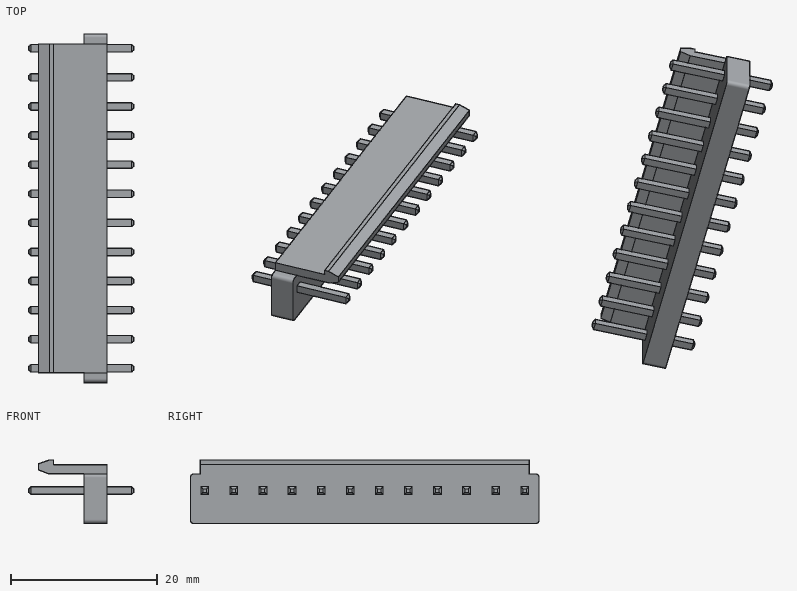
import cadquery as cq

base_length = 47.5
base_depth = 3.2
base_height = 6.8
base_end_radius = 0.5

arm_length = 44.8
arm_thickness = 1.25
arm_reach = 6.2
arm_top = base_height + arm_thickness

overall_height = 8.7
hook_depth = 2.05
hook_crest_width = 0.55
hook_tip_bottom = 7.3
hook_tip_top = 8.15
hook_underside_run = 1.35

pin_count = 12
pin_row_span = 43.58
pin_pitch = pin_row_span / (pin_count - 1)
pin_width = 1.05
pin_length = 14.3
pin_front_reach = 7.5
pin_axis_height = 4.5
pin_tip_chamfer = 0.3


def make_base():
    """Bar with its four corners rounded at the two ends."""
    bar = cq.Workplane("XY").box(
        base_depth, base_length, base_height, centered=(False, True, False)
    )
    return bar.edges("|X").fillet(base_end_radius)


def make_arm():
    """Plate and hook as one profile drawn in XZ and extruded along Y."""
    tip_x = -arm_reach
    catch_x = tip_x + hook_depth
    profile = [
        (base_depth, base_height),
        (base_depth, arm_top),
        (catch_x, arm_top),
        (catch_x, overall_height),
        (catch_x - hook_crest_width, overall_height),
        (tip_x, hook_tip_top),
        (tip_x, hook_tip_bottom),
        (tip_x + hook_underside_run, base_height),
    ]
    return cq.Workplane("XZ").polyline(profile).close().extrude(arm_length / 2, both=True)


def make_pin(axis_y):
    """Square pin with all edges of both end faces chamfered."""
    pin = cq.Workplane("XY").box(pin_length, pin_width, pin_width)
    pin = pin.faces("<X or >X").chamfer(pin_tip_chamfer)
    return pin.translate((pin_length / 2 - pin_front_reach, axis_y, pin_axis_height))


result = make_base().union(make_arm())
for index in range(pin_count):
    result = result.union(make_pin(index * pin_pitch - pin_row_span / 2))